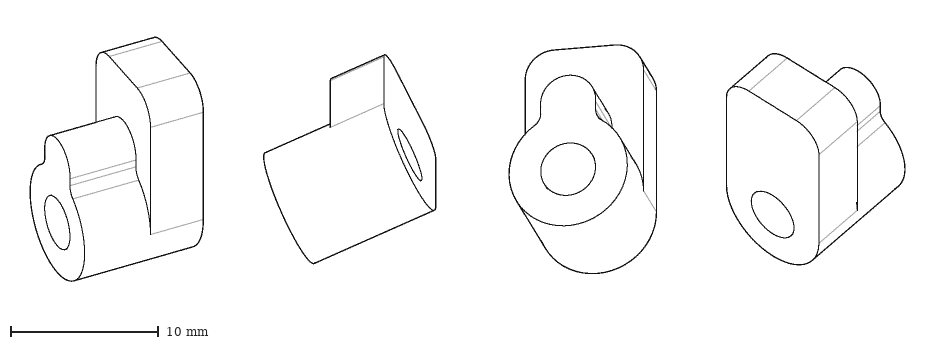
import cadquery as cq

height = 14.89
width = 8.2
plate_thickness = 4.0
boss_length = 4.99
corner_radius = 2.0
bore_diameter = 3.8
lobe_width = 3.8
lobe_top = 10.93
lobe_cap_rise = 2.07
neck_fillet = 1.0

round_radius = width / 2
plate_top = height - round_radius
lobe_half_width = lobe_width / 2
lobe_crown = lobe_top - round_radius
lobe_shoulder = lobe_crown - lobe_cap_rise


def make_plate():
    """Plate with a full round lower end and two rounded top corners."""
    plate = (
        cq.Workplane("XZ")
        .moveTo(-round_radius, 0)
        .threePointArc((0, -round_radius), (round_radius, 0))
        .lineTo(round_radius, plate_top)
        .lineTo(-round_radius, plate_top)
        .close()
        .extrude(-plate_thickness)
    )
    return plate.edges("|Y and >Z").fillet(corner_radius)


def make_boss():
    """Round boss with a narrower lobe on top, blended at the neck."""
    barrel = cq.Workplane("XZ").circle(round_radius).extrude(boss_length)
    lobe = (
        cq.Workplane("XZ")
        .moveTo(-lobe_half_width, 0)
        .lineTo(lobe_half_width, 0)
        .lineTo(lobe_half_width, lobe_shoulder)
        .threePointArc((0, lobe_crown), (-lobe_half_width, lobe_shoulder))
        .close()
        .extrude(boss_length)
    )
    neck_height = (round_radius**2 - lobe_half_width**2) ** 0.5
    half_depth = boss_length / 2
    boss = barrel.union(lobe)
    for side in (-1, 1):
        neck_point = (side * lobe_half_width, -half_depth, neck_height)
        boss = boss.edges(cq.selectors.NearestToPointSelector(neck_point)).fillet(neck_fillet)
    return boss


def make_bore():
    """Through bore along Y."""
    bore = cq.Workplane("XZ", origin=(0, plate_thickness, 0)).circle(bore_diameter / 2)
    return bore.extrude(plate_thickness + boss_length)


result = make_plate().union(make_boss()).cut(make_bore())